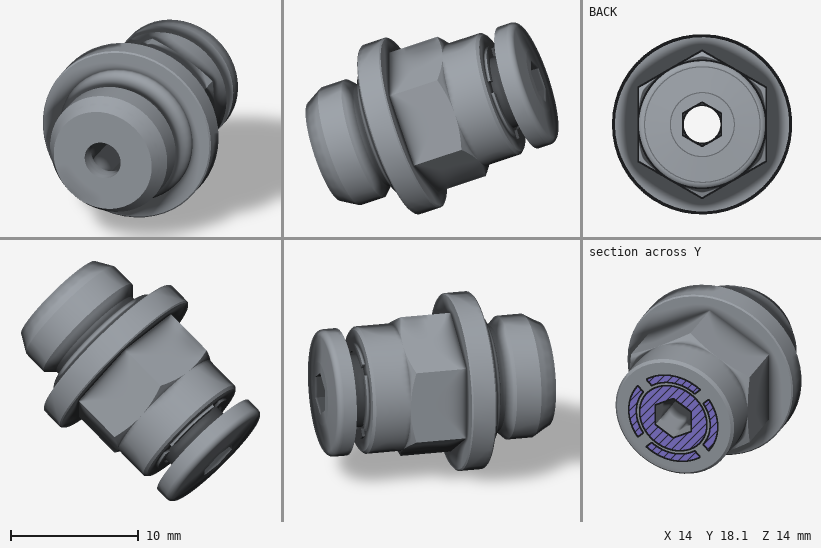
import cadquery as cq
import math


length = 18.05
bore_end = 1.5
tip_chamfer_end = 1.39
thread_end = 3.35
groove_start = 4.08
flange_front = 5.52
flange_back = 7.5
hex_end = 11.99
body_end = 15.0
collar_end = 15.22
cap_start = 16.35

bore_radius = 1.5
tip_radius = 4.08
thread_radius = 4.87
groove_radius = 4.17
flange_radius = 7.0
body_radius = 5.02
collar_radius = 3.79
collar_inner_radius = 3.1
neck_radius = 2.87
cap_radius = 5.02
cap_face_radius = 2.5

collar_slot_width = 0.97

across_flats = 2 * body_radius
hex_corner_radius = across_flats / math.sqrt(3)
hex_chamfer_angle = 30.0

socket_across_flats = 2 * bore_radius

seal_outer_radius = 5.5
seal_section_radius = 0.88
seal_center_radius = seal_outer_radius - seal_section_radius

flange_chamfer = 0.1
body_chamfer = 0.22
cap_shoulder = 17.38
cap_rim_fillet = 0.49
cap_crown_start = cap_shoulder + cap_rim_fillet
cap_crown_radius = cap_radius - cap_rim_fillet


def turned(points):
    """Revolve a closed (radius, y) outline about the Y axis."""
    return cq.Workplane("XY").polyline(points).close().revolve(360, (0, 0, 0), (0, 1, 0))


def disc(radius, start, end):
    """Cylinder on the Y axis between two stations."""
    return turned([(0, start), (radius, start), (radius, end), (0, end)])


def threaded_end():
    return turned([
        (0, 0),
        (tip_radius, 0),
        (thread_radius, tip_chamfer_end),
        (thread_radius, thread_end),
        (groove_radius, groove_start),
        (groove_radius, flange_front),
        (0, flange_front),
    ])


def seal_ring():
    return (
        cq.Workplane("XY")
        .center(seal_center_radius, flange_front)
        .circle(seal_section_radius)
        .revolve(360, (-seal_center_radius, 0, 0), (-seal_center_radius, 1, 0))
    )


def flange():
    return disc(flange_radius, flange_front, flange_back).edges("%CIRCLE").chamfer(flange_chamfer)


def hex_prism(flats, start, end):
    """Hexagonal prism along Y with corners on +Z and -Z."""
    corner_radius = flats / math.sqrt(3)
    corners = []
    for i in range(6):
        angle = math.radians(90 + 60 * i)
        corners.append((corner_radius * math.cos(angle), corner_radius * math.sin(angle)))
    return (
        cq.Workplane("XZ", origin=(0, start, 0))
        .polyline(corners)
        .close()
        .extrude(start - end)
    )


def hexagon():
    """Wrench hexagon, its back corners chamfered by a cone."""
    prism = hex_prism(across_flats, flange_back, hex_end)
    corner_drop = (hex_corner_radius - body_radius) * math.tan(math.radians(hex_chamfer_angle))
    cone = turned([
        (0, flange_back),
        (hex_corner_radius, flange_back),
        (hex_corner_radius, hex_end - corner_drop),
        (body_radius, hex_end),
        (0, hex_end),
    ])
    return prism.intersect(cone)


def body():
    return disc(body_radius, hex_end, body_end).edges(">Y").chamfer(body_chamfer)


def collar():
    """Thin ring around the neck, split by diagonal slots."""
    ring = disc(collar_radius, body_end, collar_end).cut(disc(collar_inner_radius, body_end, collar_end))
    height = collar_end - body_end
    slot = (
        cq.Workplane("XY")
        .box(2 * collar_radius, height, collar_slot_width)
        .translate((0, body_end + height / 2, 0))
    )
    for angle in (45, 135):
        ring = ring.cut(slot.rotate((0, 0, 0), (0, 1, 0), angle))
    return ring


def release_cap():
    """Push cap with a rounded rim and a slightly raised crown."""
    return (
        cq.Workplane("XY")
        .moveTo(0, cap_start)
        .lineTo(cap_radius, cap_start)
        .lineTo(cap_radius, cap_shoulder)
        .radiusArc((cap_crown_radius, cap_crown_start), -cap_rim_fillet)
        .lineTo(cap_face_radius, length)
        .lineTo(0, length)
        .close()
        .revolve(360, (0, 0, 0), (0, 1, 0))
    )


result = (
    threaded_end()
    .union(seal_ring())
    .union(flange())
    .union(hexagon())
    .union(body())
    .union(collar())
    .union(disc(neck_radius, body_end, cap_start))
    .union(release_cap())
    .cut(disc(bore_radius, 0, bore_end))
    .cut(hex_prism(socket_across_flats, bore_end, length))
)